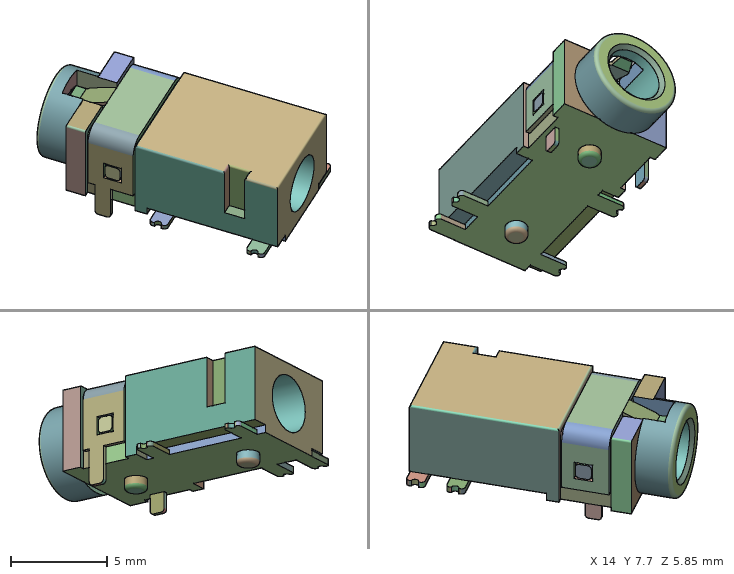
import cadquery as cq


length = 14.0
width_over_terminals = 7.7
overall_height = 5.85

housing_width = 6.3
housing_height = 4.51
top_edge_radius = 0.1
axis_height = housing_height / 2
flange_front = 2.0
flange_back = 3.1
main_front = 5.91

barrel_diameter = 5.0
barrel_radius = barrel_diameter / 2
barrel_edge_radius = 0.2
bore_radius = 1.54
bore_chamfer = 0.22

sheet = 0.24
shell_gap = 0.13
shell_front = flange_back + shell_gap
shell_back = main_front - shell_gap
shell_width = 6.17
shell_bottom = 0.92
shell_corner_radius = 0.8
neck_width = shell_width - 2 * sheet
neck_height = 4.21
neck_corner_radius = 0.31

window_size = 1.01
window_x = 4.6
window_z = 2.1
latch_size = 0.85
latch_corner_radius = 0.2

leg_width = 0.88
leg_corner_radius = 0.2
leg_bottom = axis_height + barrel_radius - overall_height
front_leg_x = 3.61
rear_leg_x = 3.78
rear_leg_outer_y = 2.58

slot_front = 0.83
slot_width = 1.9
tongue_width = 1.23
tongue_tip_width = 0.7
tongue_taper_x = 1.79
tongue_valley_x = 1.53
tongue_valley_z = 3.63
tongue_tip_x = 0.94
tongue_tip_rise = 0.18
tongue_tip_slant = 0.07

notch_start = 10.99
notch_end = 12.12
notch_depth = 0.6
notch_floor = 1.72

undercut_front = 6.6
undercut_height = 0.42
undercut_depth = 0.98

terminal_width = 1.0
terminal_radius = 0.2
near_terminal_thickness = 0.25
far_terminal_thickness = 0.34
near_terminal_starts = (7.01, 12.49)
far_terminal_starts = (10.82, 12.99)

peg_radius = 0.6
peg_depth = 0.65
peg_edge_radius = 0.21
peg_centers = (4.47, 11.47)


def block(x0, x1, y0, y1, z0, z1):
    """Box between two opposite corners."""
    return cq.Workplane("XY").box(x1 - x0, y1 - y0, z1 - z0, centered=False).translate((x0, y0, z0))


def centered_block(x0, x1, width, z0, z1):
    """Box symmetric about the bore axis."""
    return block(x0, x1, -width / 2, width / 2, z0, z1)


def axis_cylinder(radius, x0, x1):
    """Cylinder on the bore axis."""
    return cq.Workplane("YZ", origin=(x0, 0, axis_height)).circle(radius).extrude(x1 - x0)


def main_housing():
    half = housing_width / 2
    body = centered_block(main_front, length, housing_width, 0, housing_height)
    body = body.cut(block(notch_start, notch_end, -half, -half + notch_depth, notch_floor, housing_height))
    body = body.faces(">Z").edges().fillet(top_edge_radius)
    for y0 in (-half, half - undercut_depth):
        body = body.cut(block(undercut_front, length, y0, y0 + undercut_depth, 0, undercut_height))
    return body


def front_flange():
    flange = centered_block(flange_front, flange_back, housing_width, 0, housing_height)
    return flange.edges("|X and >Z").fillet(top_edge_radius)


def neck():
    body = centered_block(flange_back, main_front, neck_width, 0, neck_height)
    return body.edges("|X and >Z").fillet(neck_corner_radius)


def barrel():
    return axis_cylinder(barrel_radius, 0, flange_front).faces("<X").edges().fillet(barrel_edge_radius)


def bore():
    hole = axis_cylinder(bore_radius, 0, length)
    lead_in = cq.Solid.makeCone(
        bore_radius + bore_chamfer,
        bore_radius,
        bore_chamfer,
        pnt=cq.Vector(0, 0, axis_height),
        dir=cq.Vector(1, 0, 0),
    )
    return hole.union(cq.Workplane(lead_in))


def shell():
    cover = centered_block(shell_front, shell_back, shell_width, shell_bottom, housing_height)
    cover = cover.edges("|X and >Z").fillet(shell_corner_radius)
    half = shell_width / 2
    for side in (-1, 1):
        window = cq.Workplane("XY").box(window_size, 2 * sheet, window_size)
        cover = cover.cut(window.translate((window_x, side * half, window_z)))
        latch = cq.Workplane("XY").box(latch_size, sheet, latch_size)
        latch = latch.edges("|Y").fillet(latch_corner_radius)
        latch_y = side * (half - sheet / 2)
        cover = cover.union(latch.translate((window_x, latch_y, window_z)))
    return cover


def leg(x0, outer_y, top):
    """Sheet leg with rounded lower corners; outer_y is its +Y face."""
    strip = block(x0, x0 + leg_width, outer_y - sheet, outer_y, leg_bottom, top)
    return strip.edges("|Y and <Z").fillet(leg_corner_radius)


def tongue_slot():
    """Open slot from the top down into the bore."""
    top = axis_height + barrel_radius
    return centered_block(slot_front, flange_back, slot_width, axis_height, top)


def tongue():
    """Sheet strip that slopes down from the shell and turns up at its tapered tip."""
    tip_z = tongue_valley_z + tongue_tip_rise
    side = (
        cq.Workplane("XZ")
        .moveTo(shell_front, housing_height)
        .lineTo(tongue_valley_x, tongue_valley_z + sheet)
        .lineTo(tongue_tip_x + tongue_tip_slant, tip_z + sheet)
        .lineTo(tongue_tip_x, tip_z)
        .lineTo(tongue_valley_x, tongue_valley_z)
        .lineTo(shell_front, housing_height - sheet)
        .close()
        .extrude(tongue_width / 2, both=True)
    )
    plan = (
        cq.Workplane("XY")
        .moveTo(tongue_tip_x, -tongue_tip_width / 2)
        .lineTo(tongue_taper_x, -tongue_width / 2)
        .lineTo(shell_front, -tongue_width / 2)
        .lineTo(shell_front, tongue_width / 2)
        .lineTo(tongue_taper_x, tongue_width / 2)
        .lineTo(tongue_tip_x, tongue_tip_width / 2)
        .close()
        .extrude(housing_height)
    )
    return side.intersect(plan)


def terminal(x0, side, thickness):
    """Flat terminal with rounded corners and a half-round notch in its outer end."""
    inner = housing_width / 2 - undercut_depth
    outer = width_over_terminals / 2
    y0, y1 = sorted((side * inner, side * outer))
    tab = block(x0, x0 + terminal_width, y0, y1, 0, thickness)
    outer_face = ">Y" if side > 0 else "<Y"
    tab = tab.faces(outer_face).edges("|Z").fillet(terminal_radius)
    notch = cq.Workplane("XY").center(x0 + terminal_width / 2, side * outer)
    return tab.cut(notch.circle(terminal_radius).extrude(thickness))


def peg(x):
    pin = cq.Workplane("XY").center(x, 0).circle(peg_radius).extrude(-peg_depth)
    return pin.faces("<Z").edges().fillet(peg_edge_radius)


result = main_housing().union(neck()).union(front_flange()).union(barrel()).union(shell())
result = result.union(leg(front_leg_x, sheet - shell_width / 2, shell_bottom))
result = result.union(leg(rear_leg_x, rear_leg_outer_y, 0))
for peg_x in peg_centers:
    result = result.union(peg(peg_x))
for start in near_terminal_starts:
    result = result.union(terminal(start, -1, near_terminal_thickness))
for start in far_terminal_starts:
    result = result.union(terminal(start, 1, far_terminal_thickness))

result = result.cut(bore())
result = result.cut(tongue_slot())
result = result.union(tongue())